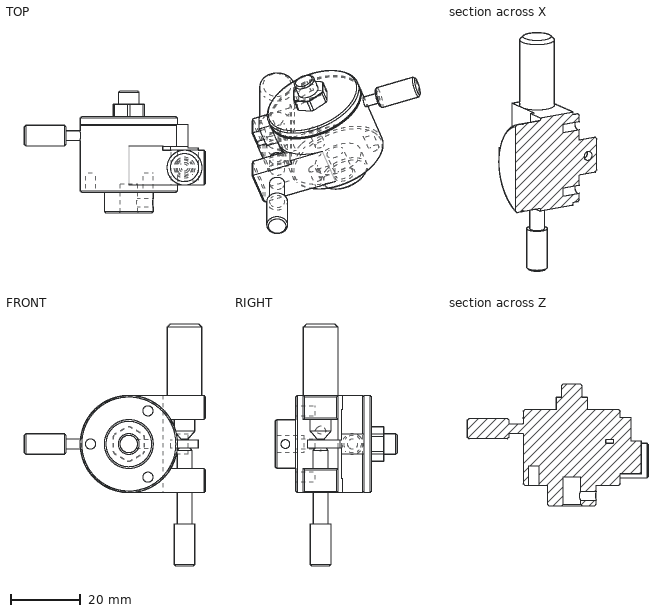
import cadquery as cq
import math


DRUM_RADIUS = 14.0
DRUM_LENGTH = 21.8
EDGE_CHAMFER = 0.5
HUB_RADIUS = 7.0
HUB_LENGTH = 5.9
GROOVE_BACK_OFFSET = 2.3
GROOVE_WIDTH = 0.35
GROOVE_DEPTH = 0.2

BORE_RADIUS = 2.5
BORE_DEPTH = 8.35
BORE_CHAMFER = 0.5
SET_SCREW_HOLE_RADIUS = 1.25
SET_SCREW_HOLE_Y = -HUB_LENGTH / 2
FACE_HOLE_RADIUS = 1.45
FACE_HOLE_CIRCLE_RADIUS = 11.0
FACE_HOLE_COUNT = 3
FACE_HOLE_FIRST_ANGLE = 60
FACE_HOLE_DEPTH = 5.55

NUT_HALF_FLATS = 4.5
NUT_CORNER_RADIUS = 5.0
NUT_LENGTH = 3.55
NUT_CHAMFER = 0.15
SCREW_RADIUS = 3.0
SCREW_LENGTH = 3.8

ARM_END_X = 21.95
ARM_INNER_Z = 7.0
ARM_FRONT_Y = 2.15
ARM_BACK_Y = 12.15
ARM_ROOT_BACK_Y = 13.4
ARM_END_CHAMFER = 0.4
ADJUSTER_X = 16.0
ADJUSTER_Y = (ARM_FRONT_Y + ARM_BACK_Y) / 2

SLOT_START_X = 9.8
SLOT_BACK_Y = 13.2

LEVER_BLOCK_END_X = 17.0
LEVER_BLOCK_HALF_HEIGHT = 2.9
LEVER_BLOCK_BACK_Y = DRUM_LENGTH - GROOVE_BACK_OFFSET
TONGUE_START_X = 11.95
TONGUE_END_X = 19.95
TONGUE_FRONT_Y = 3.35
TONGUE_BACK_Y = 12.8
TONGUE_HALF_HEIGHT = 1.2

HOUSING_RADIUS = 5.0
HOUSING_TOP_Z = 34.5
HOUSING_CHAMFER = 1.0
PLUNGER_RADIUS = 3.0
PLUNGER_CONE_Z = 3.7
PLUNGER_TIP_RADIUS = 1.0
PLUNGER_TIP_Z = 1.4

GRIP_RADIUS = 3.0

SPINDLE_RADIUS = 2.15
SPINDLE_TIP_CHAMFER = 0.6
KNOB_TOP_Z = -22.95
KNOB_BOTTOM_Z = -35.0

HANDLE_Y = 16.3
HANDLE_ROD_RADIUS = 1.45
HANDLE_GRIP_START_X = -18.0
HANDLE_END_X = -30.0
HANDLE_ROD_ROOT_X = -DRUM_RADIUS / 2


def cylinder_y(radius, start, end):
    """Cylinder on the drum centre line between two Y positions."""
    return cq.Workplane("XZ", origin=(0, start, 0)).circle(radius).extrude(start - end)


def cylinder_z(radius, start, end):
    """Cylinder on the adjuster centre line between two Z positions."""
    base = cq.Workplane("XY", origin=(ADJUSTER_X, ADJUSTER_Y, start))
    return base.circle(radius).extrude(end - start)


def cylinder_x(radius, start, end):
    """Cylinder on the handle centre line between two X positions."""
    return cq.Workplane("YZ", origin=(start, HANDLE_Y, 0)).circle(radius).extrude(end - start)


def block(start, end):
    """Box between two opposite corners."""
    size = [b - a for a, b in zip(start, end)]
    return cq.Workplane("XY").box(*size, centered=False).translate(start)


def make_drum():
    drum = cylinder_y(DRUM_RADIUS, 0, DRUM_LENGTH).faces("<Y or >Y").chamfer(EDGE_CHAMFER)
    groove_end = DRUM_LENGTH - GROOVE_BACK_OFFSET
    groove_start = groove_end - GROOVE_WIDTH
    groove = cylinder_y(DRUM_RADIUS, groove_start, groove_end)
    groove = groove.cut(cylinder_y(DRUM_RADIUS - GROOVE_DEPTH, groove_start, groove_end))
    hub = cylinder_y(HUB_RADIUS, -HUB_LENGTH, 0).faces("<Y").chamfer(EDGE_CHAMFER)
    return drum.cut(groove).union(hub)


def make_arm(side):
    """One arm; side is +1 for the upper arm and -1 for the lower arm."""
    low_z, high_z = sorted((side * ARM_INNER_Z, side * DRUM_RADIUS))
    arm = block((0, ARM_FRONT_Y, low_z), (ARM_END_X, ARM_BACK_Y, high_z))
    arm = arm.faces(">X").chamfer(ARM_END_CHAMFER)
    root = block((0, ARM_FRONT_Y, low_z), (SLOT_START_X, ARM_ROOT_BACK_Y, high_z))
    return arm.union(root)


def make_slot():
    return block(
        (SLOT_START_X, ARM_BACK_Y, -DRUM_RADIUS),
        (DRUM_RADIUS, SLOT_BACK_Y, DRUM_RADIUS),
    )


def make_lever():
    lever_block = block(
        (SLOT_START_X, SLOT_BACK_Y, -LEVER_BLOCK_HALF_HEIGHT),
        (LEVER_BLOCK_END_X, LEVER_BLOCK_BACK_Y, LEVER_BLOCK_HALF_HEIGHT),
    )
    neck = block(
        (TONGUE_START_X, ARM_BACK_Y, -TONGUE_HALF_HEIGHT),
        (LEVER_BLOCK_END_X, SLOT_BACK_Y, TONGUE_HALF_HEIGHT),
    )
    tongue = block(
        (TONGUE_START_X, TONGUE_FRONT_Y, -TONGUE_HALF_HEIGHT),
        (TONGUE_END_X, TONGUE_BACK_Y, TONGUE_HALF_HEIGHT),
    )
    return lever_block.union(neck).union(tongue)


def make_plunger():
    housing = cylinder_z(HOUSING_RADIUS, DRUM_RADIUS, HOUSING_TOP_Z)
    housing = housing.faces(">Z").chamfer(HOUSING_CHAMFER)
    profile = [
        (0, TONGUE_HALF_HEIGHT),
        (PLUNGER_TIP_RADIUS, TONGUE_HALF_HEIGHT),
        (PLUNGER_TIP_RADIUS, PLUNGER_TIP_Z),
        (PLUNGER_RADIUS, PLUNGER_CONE_Z),
        (PLUNGER_RADIUS, DRUM_RADIUS),
        (0, DRUM_RADIUS),
    ]
    pin = cq.Workplane("XZ").polyline(profile).close().revolve(360, (0, 0), (0, 1))
    return housing.union(pin.translate((ADJUSTER_X, ADJUSTER_Y, 0)))


def make_adjusting_screw():
    spindle = cylinder_z(SPINDLE_RADIUS, KNOB_TOP_Z, -TONGUE_HALF_HEIGHT)
    spindle = spindle.faces(">Z").chamfer(SPINDLE_TIP_CHAMFER)
    knob = cylinder_z(GRIP_RADIUS, KNOB_BOTTOM_Z, KNOB_TOP_Z).faces("<Z").chamfer(EDGE_CHAMFER)
    return spindle.union(knob)


def make_handle():
    rod = cylinder_x(HANDLE_ROD_RADIUS, HANDLE_GRIP_START_X, HANDLE_ROD_ROOT_X)
    grip = cylinder_x(GRIP_RADIUS, HANDLE_END_X, HANDLE_GRIP_START_X)
    return rod.union(grip.faces("<X or >X").chamfer(EDGE_CHAMFER))


def make_nut_and_screw():
    nut_end = DRUM_LENGTH + NUT_LENGTH
    screw_end = nut_end + SCREW_LENGTH
    across_corners = 2 * NUT_HALF_FLATS / math.cos(math.radians(30))
    hexagon = cq.Workplane("XZ", origin=(0, DRUM_LENGTH, 0))
    hexagon = hexagon.polygon(6, across_corners).extrude(-NUT_LENGTH)
    hexagon = hexagon.rotate((0, 0, 0), (0, 1, 0), 30)
    corner_limit = cylinder_y(NUT_CORNER_RADIUS, DRUM_LENGTH, nut_end)
    nut = hexagon.intersect(corner_limit).faces(">Y").chamfer(NUT_CHAMFER)
    screw = cylinder_y(SCREW_RADIUS, nut_end, screw_end).faces(">Y").chamfer(EDGE_CHAMFER)
    return nut.union(screw)


def make_bore():
    bore = cylinder_y(BORE_RADIUS, -HUB_LENGTH, BORE_DEPTH - HUB_LENGTH)
    mouth = cq.Workplane("XZ", origin=(0, -HUB_LENGTH, 0)).circle(BORE_RADIUS + BORE_CHAMFER)
    mouth = mouth.workplane(offset=-BORE_CHAMFER).circle(BORE_RADIUS).loft()
    return bore.union(mouth)


def make_set_screw_hole():
    """Radial hole from the bore out through the +X side of the hub."""
    hole = cq.Workplane("YZ", origin=(0, SET_SCREW_HOLE_Y, 0))
    return hole.circle(SET_SCREW_HOLE_RADIUS).extrude(HUB_RADIUS)


def make_face_holes():
    holes = cq.Workplane("XZ").polarArray(
        FACE_HOLE_CIRCLE_RADIUS, FACE_HOLE_FIRST_ANGLE, 360, FACE_HOLE_COUNT
    )
    return holes.circle(FACE_HOLE_RADIUS).extrude(-FACE_HOLE_DEPTH)


result = make_drum()
for arm_side in (1, -1):
    result = result.union(make_arm(arm_side))
result = result.cut(make_slot())
attachments = (
    make_lever(),
    make_plunger(),
    make_adjusting_screw(),
    make_handle(),
    make_nut_and_screw(),
)
for feature in attachments:
    result = result.union(feature)
for opening in (make_bore(), make_set_screw_hole(), make_face_holes()):
    result = result.cut(opening)